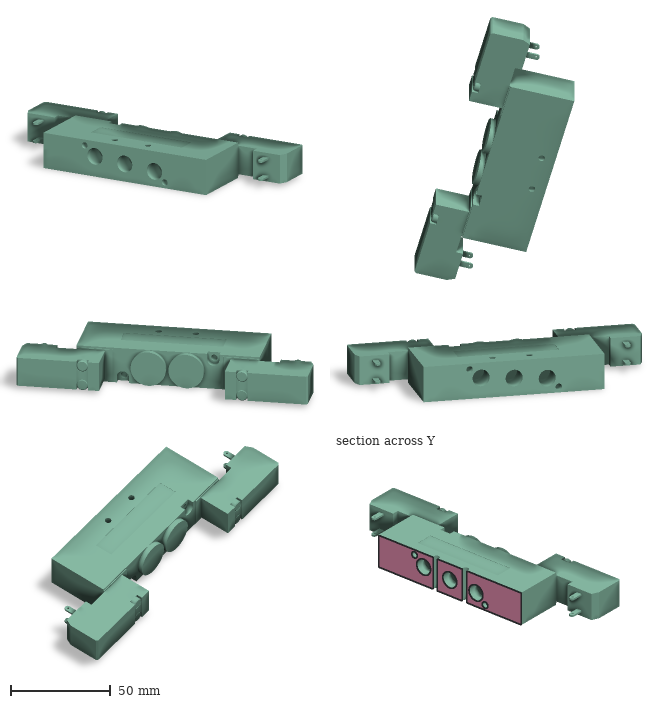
import cadquery as cq


BODY_LENGTH = 93.2
BODY_DEPTH = 33.0
BODY_HEIGHT = 18.5
PORT_DIAMETER = 8.7
PORT_PITCH = 17.0
PORT_STAGGER = 1.3
PORT_DEPTH = 11.9
MOUNT_X = 23.0
MOUNT_Z = 6.2
MOUNT_HOLE_DIAMETER = 3.3
MOUNT_RECESS_WIDTH = 6.2
MOUNT_RECESS_DEPTH = 3.1
CROSS_X = 9.5
CROSS_Y = 7.0
CROSS_HOLE_DIAMETER = 3.3
BOSS_X = 9.6
BOSS_DIAMETER = 18.0
BOSS_HEIGHT = 2.7
LABEL_LENGTH = 52.2
LABEL_WIDTH = 9.8
LABEL_Y = 17.0
LABEL_DEPTH = 0.1

GASKET_INNER_X = 28.2
GASKET_THICKNESS = 0.5
GASKET_HEIGHT = 16.6

OUTER_X = 74.1
SOLENOID_INNER_X = 32.0
SOLENOID_BACK_Y = 50.7
SOLENOID_HEIGHT = 15.0
FOOT_INNER_X = 56.9
FOOT_Y = 30.0
FOOT_CHAMFER_X = 1.8
FOOT_CHAMFER_Y = 3.9
BACK_CHAMFER = 0.9
SCREW_X = 40.6
SCREW_Z = 5.0
SCREW_HEAD_DIAMETER = 5.8
SCREW_HEAD_HEIGHT = 2.7
SCREW_HEAD_CHAMFER = 0.5
SCREW_POCKET_DEPTH = 3.1
PIN_X = 64.5
PIN_Z = 4.7
PIN_WIDTH = 3.0
PIN_THICKNESS = 1.0
PIN_TIP_Y = 22.8
PIN_HOLE_Y = 24.6
PIN_HOLE_DIAMETER = 1.0

GASKET_LENGTH = BODY_LENGTH / 2 - GASKET_INNER_X
SOLENOID_FRONT_Y = BODY_DEPTH + GASKET_THICKNESS


def cylinder_y(diameter, x, z, y_start, length):
    """Cylinder along +Y that starts at y_start."""
    return cq.Workplane("XY").add(
        cq.Solid.makeCylinder(diameter / 2, length, cq.Vector(x, y_start, z), cq.Vector(0, 1, 0))
    )


def edge_pocket(width, x, z, face_y, depth):
    """U-shaped pocket sunk from the face at face_y and open towards the nearer Z side."""
    side = 1 if z > 0 else -1
    slot_length = BODY_HEIGHT
    slot = cq.Workplane("XY").box(width, depth, slot_length).translate(
        (x, face_y - depth / 2, z + side * slot_length / 2)
    )
    return cylinder_y(width, x, z, face_y - depth, depth).union(slot)


def make_body():
    body = cq.Workplane("XY").box(BODY_LENGTH, BODY_DEPTH, BODY_HEIGHT, centered=(True, False, True))

    for side in (-1, 1):
        body = body.union(cylinder_y(BOSS_DIAMETER, side * BOSS_X, 0, BODY_DEPTH, BOSS_HEIGHT))

    for step in (-1, 0, 1):
        body = body.cut(cylinder_y(PORT_DIAMETER, step * PORT_PITCH, -step * PORT_STAGGER, 0, PORT_DEPTH))

    for side in (-1, 1):
        x = side * MOUNT_X
        z = -side * MOUNT_Z
        body = body.cut(cylinder_y(MOUNT_HOLE_DIAMETER, x, z, 0, BODY_DEPTH))
        body = body.cut(edge_pocket(MOUNT_RECESS_WIDTH, x, z, BODY_DEPTH, MOUNT_RECESS_DEPTH))

    cross_holes = (
        cq.Workplane("XY")
        .pushPoints([(-CROSS_X, CROSS_Y), (CROSS_X, CROSS_Y)])
        .circle(CROSS_HOLE_DIAMETER / 2)
        .extrude(BODY_HEIGHT / 2, both=True)
    )
    body = body.cut(cross_holes)

    label = cq.Workplane("XY").box(LABEL_LENGTH, LABEL_WIDTH, LABEL_DEPTH).translate(
        (0, LABEL_Y, (BODY_HEIGHT - LABEL_DEPTH) / 2)
    )
    return body.cut(label)


def make_gasket(side):
    return cq.Workplane("XY").box(GASKET_LENGTH, GASKET_THICKNESS, GASKET_HEIGHT).translate(
        (side * (GASKET_INNER_X + GASKET_LENGTH / 2), BODY_DEPTH + GASKET_THICKNESS / 2, 0)
    )


def make_pin(z):
    """Flat contact pin with a semicircular tip and an eye."""
    left_x = PIN_X - PIN_WIDTH / 2
    right_x = PIN_X + PIN_WIDTH / 2
    shoulder_y = PIN_TIP_Y + PIN_WIDTH / 2
    pin = (
        cq.Workplane("XY")
        .moveTo(left_x, FOOT_Y)
        .lineTo(left_x, shoulder_y)
        .threePointArc((PIN_X, PIN_TIP_Y), (right_x, shoulder_y))
        .lineTo(right_x, FOOT_Y)
        .close()
        .moveTo(PIN_X, PIN_HOLE_Y)
        .circle(PIN_HOLE_DIAMETER / 2)
        .extrude(PIN_THICKNESS / 2, both=True)
    )
    return pin.translate((0, 0, z))


def make_right_solenoid():
    outline = [
        (SOLENOID_INNER_X, SOLENOID_FRONT_Y),
        (FOOT_INNER_X, SOLENOID_FRONT_Y),
        (FOOT_INNER_X, FOOT_Y),
        (OUTER_X - FOOT_CHAMFER_X, FOOT_Y),
        (OUTER_X, FOOT_Y + FOOT_CHAMFER_Y),
        (OUTER_X, SOLENOID_BACK_Y - BACK_CHAMFER),
        (OUTER_X - BACK_CHAMFER, SOLENOID_BACK_Y),
        (SOLENOID_INNER_X, SOLENOID_BACK_Y),
    ]
    solenoid = cq.Workplane("XY").polyline(outline).close().extrude(SOLENOID_HEIGHT / 2, both=True)

    groove_depth = SCREW_POCKET_DEPTH - SCREW_HEAD_HEIGHT
    groove = cq.Workplane("XY").box(SCREW_HEAD_DIAMETER, groove_depth, SOLENOID_HEIGHT).translate(
        (SCREW_X, SOLENOID_BACK_Y - groove_depth / 2, 0)
    )
    solenoid = solenoid.cut(groove)

    pocket_floor_y = SOLENOID_BACK_Y - SCREW_POCKET_DEPTH
    for level in (-1, 1):
        z = level * SCREW_Z
        solenoid = solenoid.cut(
            edge_pocket(SCREW_HEAD_DIAMETER, SCREW_X, z, SOLENOID_BACK_Y, SCREW_POCKET_DEPTH)
        )
        screw_head = cylinder_y(SCREW_HEAD_DIAMETER, SCREW_X, z, pocket_floor_y, SCREW_HEAD_HEIGHT)
        solenoid = solenoid.union(screw_head.faces(">Y").chamfer(SCREW_HEAD_CHAMFER))
        solenoid = solenoid.union(make_pin(level * PIN_Z))
    return solenoid


def make_solenoid(side):
    solenoid = make_right_solenoid()
    return solenoid if side > 0 else solenoid.mirror("YZ")


valve_body = make_body()
gaskets = [make_gasket(side) for side in (-1, 1)]
solenoids = [make_solenoid(side) for side in (-1, 1)]

result = cq.Compound.makeCompound(
    [valve_body.val()]
    + [gasket.val() for gasket in gaskets]
    + [solenoid.val() for solenoid in solenoids]
)